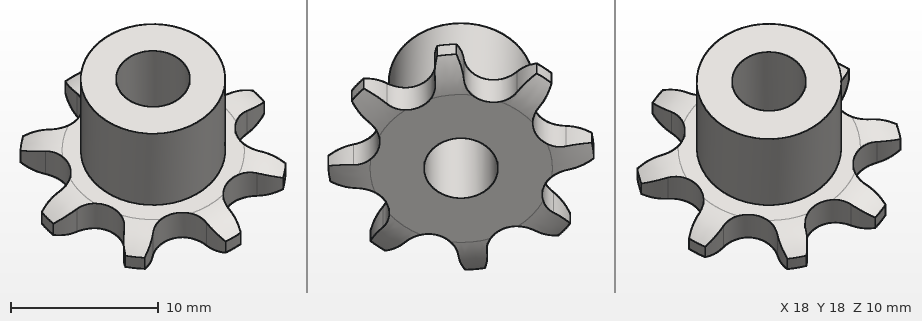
import cadquery as cq
import math

TOOTH_COUNT = 8
TIP_RADIUS = 9.0
CHAIN_PITCH = 6.0
SEAT_RADIUS = 2.02
FLANK_RADIUS = 4.8
PLATE_THICKNESS = 2.6
BEVEL_RADIUS = 6.0
FLAT_FACE_RADIUS = 6.17
HUB_DIAMETER = 9.8
BORE_DIAMETER = 5.0
TOTAL_HEIGHT = 10.0

TOOTH_ANGLE = 360 / TOOTH_COUNT
HALF_TOOTH_ANGLE = math.radians(TOOTH_ANGLE / 2)
PITCH_RADIUS = CHAIN_PITCH / (2 * math.sin(HALF_TOOTH_ANGLE))

RELIEF_ANGLE = math.asin((TIP_RADIUS - FLAT_FACE_RADIUS) / BEVEL_RADIUS)


def relief_point(angle):
    """Radius and depth below the flat face at an angle along the relief arc."""
    radius = FLAT_FACE_RADIUS + BEVEL_RADIUS * math.sin(angle)
    depth = BEVEL_RADIUS * (1 - math.cos(angle))
    return radius, depth


def relieved_disc():
    """Round blank whose rim is thinned by an arc on both faces."""
    middle_radius, middle_depth = relief_point(RELIEF_ANGLE / 2)
    _, tip_depth = relief_point(RELIEF_ANGLE)
    return (
        cq.Workplane("XZ")
        .lineTo(FLAT_FACE_RADIUS, 0)
        .threePointArc((middle_radius, middle_depth), (TIP_RADIUS, tip_depth))
        .lineTo(TIP_RADIUS, PLATE_THICKNESS - tip_depth)
        .threePointArc(
            (middle_radius, PLATE_THICKNESS - middle_depth),
            (FLAT_FACE_RADIUS, PLATE_THICKNESS),
        )
        .lineTo(0, PLATE_THICKNESS)
        .close()
        .revolve(360, (0, 0), (0, 1))
    )


def tooth_gap():
    """Cutter for the gap between the tooth on +X and the next one counterclockwise."""
    seat_x = PITCH_RADIUS * math.cos(HALF_TOOTH_ANGLE)
    seat_y = PITCH_RADIUS * math.sin(HALF_TOOTH_ANGLE)
    root_radius = PITCH_RADIUS - SEAT_RADIUS

    flank_start = (seat_x, seat_y - SEAT_RADIUS)
    flank_center_y = flank_start[1] - FLANK_RADIUS

    def flank_point(x):
        return x, flank_center_y + math.sqrt(FLANK_RADIUS**2 - (x - seat_x) ** 2)

    def opposite(point):
        """Mirror a point across the centerline of the gap."""
        x, y = point
        cosine = math.cos(2 * HALF_TOOTH_ANGLE)
        sine = math.sin(2 * HALF_TOOTH_ANGLE)
        return x * cosine + y * sine, x * sine - y * cosine

    flank_end = flank_point(TIP_RADIUS + 0.18)
    flank_middle = flank_point((seat_x + flank_end[0]) / 2)
    root_point = (
        root_radius * math.cos(HALF_TOOTH_ANGLE),
        root_radius * math.sin(HALF_TOOTH_ANGLE),
    )
    outer_radius = 1.2 * TIP_RADIUS
    outer_point = (
        outer_radius * math.cos(HALF_TOOTH_ANGLE),
        outer_radius * math.sin(HALF_TOOTH_ANGLE),
    )
    return (
        cq.Workplane("XY")
        .moveTo(*flank_end)
        .threePointArc(flank_middle, flank_start)
        .threePointArc(root_point, opposite(flank_start))
        .threePointArc(opposite(flank_middle), opposite(flank_end))
        .lineTo(*outer_point)
        .close()
        .extrude(PLATE_THICKNESS)
    )


sprocket = relieved_disc()
gap = tooth_gap()
for tooth in range(TOOTH_COUNT):
    sprocket = sprocket.cut(gap.rotate((0, 0, 0), (0, 0, 1), tooth * TOOTH_ANGLE))

hub = cq.Workplane("XY").circle(HUB_DIAMETER / 2).extrude(TOTAL_HEIGHT)
bore = cq.Workplane("XY").circle(BORE_DIAMETER / 2).extrude(TOTAL_HEIGHT)
result = sprocket.union(hub).cut(bore)